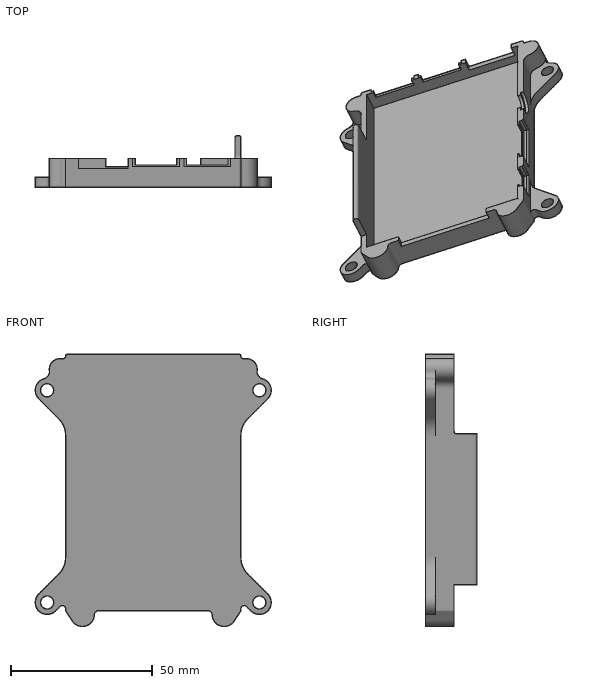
import cadquery as cq
import math


case_half_width = 31.0
case_top = 50.2
case_bottom = -40.4
case_depth = 10.2
wall = 2.1
floor_thickness = 3.6
top_corner_radius = 0.7
step_fillet = 0.8

hole_half_pitch = 37.49
hole_diameter = 4.5
ear_radius = 4.2
ear_thickness = 3.6
ear_wall_fillet = 8.4
ear_lobe_fillet = 2.6
ear_root_x = 28.9
ear_notch_fillet = 1.2

upper_lobe_center = (32.9, 44.9)
upper_lobe_radius = 3.85
upper_lobe_fillet = 3.0
lower_lobe_center = (25.0, -41.8)
lower_lobe_radius = 4.2
lower_lobe_fillet = 1.4
lower_lobe_flank_angle = 326.0
flank_fillet = 1.0

fin_top = 22.1
fin_bottom = -31.3
fin_tip = 18.3
fin_tip_radius = 0.8
fin_root_fillet = 0.9

recess_thickness = 1.1
side_recess_thickness = 1.6
recess_chamfer = 0.6
plain_opening_center, plain_opening_width, plain_opening_depth = -17.6, 17.5, 3.6
top_recess_centers = (1.0, 19.1)
top_recess_width, top_recess_depth = 16.5, 2.9
top_opening_width, top_opening_depth = 14.5, 2.3
bottom_opening_width, bottom_opening_depth = 33.5, 2.9
round_center_z, round_recess_radius, round_opening_radius = 16.4, 4.8, 3.6
large_center_z, large_recess_length, large_opening_length, large_opening_depth = -4.9, 21.2, 16.5, 3.3
small_center_z, small_recess_length, small_opening_length, small_opening_depth = -26.3, 11.9, 9.0, 3.85
side_recess_depth = 5.2


def polar(center, radius, angle):
    """Point on a circle in the XZ plane; angle in degrees from +X toward +Z."""
    turn = math.radians(angle)
    return (center[0] + radius * math.cos(turn), center[1] + radius * math.sin(turn))


def direction(start, end):
    return math.degrees(math.atan2(end[1] - start[1], end[0] - start[0]))


def arc(outline, center, radius, start, end):
    """Continue an outline by an arc from one angle to another."""
    return outline.threePointArc(polar(center, radius, (start + end) / 2), polar(center, radius, end))


def box(x_range, y_range, z_range):
    size = [high - low for low, high in (x_range, y_range, z_range)]
    corner = (x_range[0], y_range[0], z_range[0])
    return cq.Workplane("XY").box(*size, centered=False).translate(corner)


def half_case():
    """Right half of the solid case with its two lobes."""
    fillet_x = case_half_width + upper_lobe_fillet
    reach = upper_lobe_radius + upper_lobe_fillet
    drop = math.sqrt(reach**2 - (fillet_x - upper_lobe_center[0])**2)
    wall_fillet = (fillet_x, upper_lobe_center[1] - drop)
    lobe_end = direction(upper_lobe_center, wall_fillet)

    flank_foot = polar(lower_lobe_center, lower_lobe_radius, lower_lobe_flank_angle)
    flank_slope = math.tan(math.radians(lower_lobe_flank_angle + 90))
    flank_top = flank_foot[1] + flank_slope * (case_half_width - flank_foot[0])

    reach = lower_lobe_radius + lower_lobe_fillet
    bottom_fillet_z = case_bottom - lower_lobe_fillet
    rise = bottom_fillet_z - lower_lobe_center[1]
    bottom_fillet = (lower_lobe_center[0] - math.sqrt(reach**2 - rise**2), bottom_fillet_z)
    lower_lobe_end = direction(lower_lobe_center, bottom_fillet) % 360

    lobe_top = upper_lobe_center[1] + upper_lobe_radius
    outline = (
        cq.Workplane("XZ")
        .moveTo(0, case_top)
        .lineTo(case_half_width - top_corner_radius, case_top)
    )
    outline = arc(outline, (case_half_width - top_corner_radius, case_top - top_corner_radius),
                  top_corner_radius, 90, 0)
    outline = outline.lineTo(case_half_width, lobe_top + step_fillet)
    outline = arc(outline, (case_half_width + step_fillet, lobe_top + step_fillet), step_fillet, 180, 270)
    outline = outline.lineTo(upper_lobe_center[0], lobe_top)
    outline = arc(outline, upper_lobe_center, upper_lobe_radius, 90, lobe_end)
    outline = arc(outline, wall_fillet, upper_lobe_fillet, lobe_end + 180, 180)
    outline = outline.lineTo(case_half_width, flank_top).lineTo(*flank_foot)
    outline = arc(outline, lower_lobe_center, lower_lobe_radius, lower_lobe_flank_angle, lower_lobe_end)
    outline = arc(outline, bottom_fillet, lower_lobe_fillet, lower_lobe_end - 180, 90)
    outline = outline.lineTo(0, case_bottom).close()

    flank_edge = cq.selectors.NearestToPointSelector((case_half_width, case_depth / 2, flank_top))
    return outline.extrude(-case_depth).edges(flank_edge).fillet(flank_fillet)


def common_tangent_center(first, first_radius, second, second_radius, fillet):
    """Center of a fillet touching two circles from outside, on the +X side of first to second."""
    first_reach = first_radius + fillet
    second_reach = second_radius + fillet
    gap = math.dist(first, second)
    cosine = (first_reach**2 + gap**2 - second_reach**2) / (2 * first_reach * gap)
    return polar(first, first_reach, direction(first, second) + math.degrees(math.acos(cosine)))


def upper_ear():
    """Upper right ear plate, rounded into the upper lobe and the side wall."""
    hole = (hole_half_pitch, hole_half_pitch)
    flank_fillet_x = case_half_width + ear_wall_fillet
    flank_gap = (ear_radius + ear_wall_fillet) * math.sqrt(2)
    flank_center = (flank_fillet_x, flank_fillet_x - flank_gap)
    lobe_center = common_tangent_center(
        upper_lobe_center, upper_lobe_radius, hole, ear_radius, ear_lobe_fillet)
    lobe_angle = direction(upper_lobe_center, lobe_center)
    ear_angle = direction(hole, lobe_center)

    outline = cq.Workplane("XZ").moveTo(ear_root_x, upper_lobe_center[1]).lineTo(*upper_lobe_center)
    outline = outline.lineTo(*polar(upper_lobe_center, upper_lobe_radius, lobe_angle))
    outline = arc(outline, lobe_center, ear_lobe_fillet, lobe_angle + 180, ear_angle + 180)
    outline = arc(outline, hole, ear_radius, ear_angle, -45)
    outline = outline.lineTo(*polar(flank_center, ear_wall_fillet, 135))
    outline = arc(outline, flank_center, ear_wall_fillet, 135, 180)
    outline = outline.lineTo(ear_root_x, flank_center[1]).close()
    return outline.extrude(-ear_thickness)


def lower_ear():
    """Lower right ear plate, rounded into the side wall on both flanks."""
    hole = (hole_half_pitch, -hole_half_pitch)
    flank_fillet_x = case_half_width + ear_wall_fillet
    flank_gap = (ear_radius + ear_wall_fillet) * math.sqrt(2)
    flank_center = (flank_fillet_x, flank_gap - flank_fillet_x)
    notch_x = case_half_width + ear_notch_fillet
    notch_gap = (ear_radius + ear_notch_fillet) * math.sqrt(2)
    notch_center = (notch_x, -notch_gap - notch_x)

    outline = cq.Workplane("XZ").moveTo(ear_root_x, flank_center[1])
    outline = outline.lineTo(case_half_width, flank_center[1])
    outline = arc(outline, flank_center, ear_wall_fillet, 180, 225)
    outline = outline.lineTo(*polar(hole, ear_radius, 45))
    outline = arc(outline, hole, ear_radius, 45, -135)
    outline = outline.lineTo(*polar(notch_center, ear_notch_fillet, 45))
    outline = arc(outline, notch_center, ear_notch_fillet, 45, 180)
    outline = outline.lineTo(ear_root_x, notch_center[1]).close()
    return outline.extrude(-ear_thickness)


def mounting_holes():
    return (
        cq.Workplane("XZ")
        .rect(2 * hole_half_pitch, 2 * hole_half_pitch, forConstruction=True)
        .vertices()
        .circle(hole_diameter / 2)
        .extrude(-ear_thickness)
    )


def cavity():
    inner_half = case_half_width - wall
    return box((-inner_half, inner_half), (floor_thickness, case_depth),
               (case_bottom + wall, case_top - wall))


def fin():
    """Fin flush with the outside of the right wall, with a fillet at its upper root."""
    x_range = (case_half_width - wall, case_half_width)
    blade = box(x_range, (case_depth, fin_tip), (fin_bottom, fin_top))
    blade = blade.edges("|Z and >Y").fillet(fin_tip_radius)
    root = box(x_range, (case_depth, case_depth + fin_root_fillet), (fin_top, fin_top + fin_root_fillet))
    root_round = (
        cq.Workplane("YZ", origin=(x_range[0], case_depth + fin_root_fillet, fin_top + fin_root_fillet))
        .circle(fin_root_fillet)
        .extrude(wall)
    )
    return blade.union(root.cut(root_round))


def top_opening(center, width, depth, thickness):
    """Notch of the given thickness from the outside of the top wall."""
    return box((center - width / 2, center + width / 2), (case_depth - depth, case_depth),
               (case_top - thickness, case_top))


def side_opening(center_z, length, depth, thickness):
    """Notch of the given thickness from the outside of the left wall."""
    return box((-case_half_width, thickness - case_half_width), (case_depth - depth, case_depth),
               (center_z - length / 2, center_z + length / 2))


def side_recess(center_z, length):
    """Outer recess in the left wall, with a chamfer all along its outer rim."""
    rim = (
        cq.Workplane("YZ", origin=(-case_half_width, case_depth, center_z))
        .rect(2 * side_recess_depth, length)
        .extrude(recess_chamfer, taper=45)
    )
    flat_depth = side_recess_depth - recess_chamfer
    return rim.union(side_opening(center_z, length - 2 * recess_chamfer, flat_depth, side_recess_thickness))


def round_opening(radius, thickness):
    return (
        cq.Workplane("YZ", origin=(-case_half_width, case_depth, round_center_z))
        .circle(radius)
        .extrude(thickness)
    )


result = half_case().union(upper_ear()).union(lower_ear())
result = result.union(result.mirror("YZ"))
result = result.cut(mounting_holes()).cut(cavity()).union(fin())

result = result.cut(top_opening(plain_opening_center, plain_opening_width, plain_opening_depth, wall))
for center in top_recess_centers:
    result = result.cut(top_opening(center, top_recess_width, top_recess_depth, recess_thickness))
    result = result.cut(top_opening(center, top_opening_width, top_opening_depth, wall))

bottom_half = bottom_opening_width / 2
result = result.cut(box((-bottom_half, bottom_half), (case_depth - bottom_opening_depth, case_depth),
                        (case_bottom, case_bottom + wall)))

result = result.cut(round_opening(round_recess_radius, recess_thickness))
result = result.cut(round_opening(round_opening_radius, wall))
for center_z, recess_length, opening_length, opening_depth in (
    (large_center_z, large_recess_length, large_opening_length, large_opening_depth),
    (small_center_z, small_recess_length, small_opening_length, small_opening_depth),
):
    result = result.cut(side_recess(center_z, recess_length))
    result = result.cut(side_opening(center_z, opening_length, opening_depth, wall))